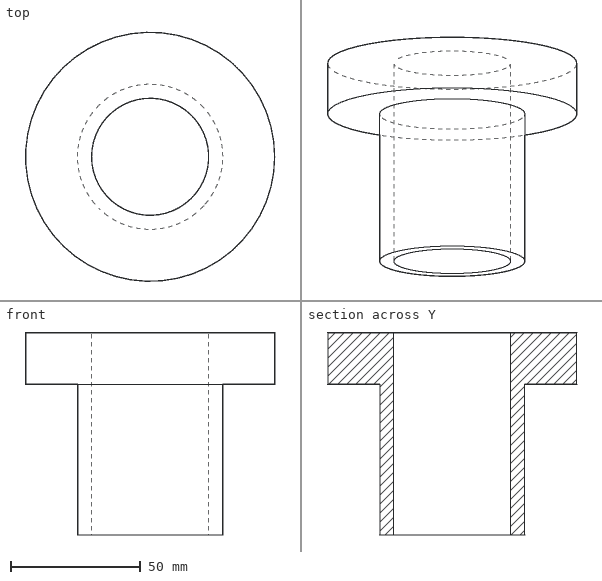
import cadquery as cq

flange_diameter = 96.0
flange_thickness = 20.0
sleeve_diameter = 56.0
bore_diameter = 45.0
total_height = 78.0

sleeve_length = total_height - flange_thickness


def make_sleeve():
    """Solid cylinder standing on the XY plane, below the flange."""
    return cq.Workplane("XY").circle(sleeve_diameter / 2).extrude(sleeve_length)


def add_flange(body):
    """Wide disc on top of the sleeve."""
    return body.faces(">Z").workplane().circle(flange_diameter / 2).extrude(flange_thickness)


def cut_bore(body):
    """Plain bore through the full height."""
    return body.faces(">Z").workplane().hole(bore_diameter)


result = cut_bore(add_flange(make_sleeve()))